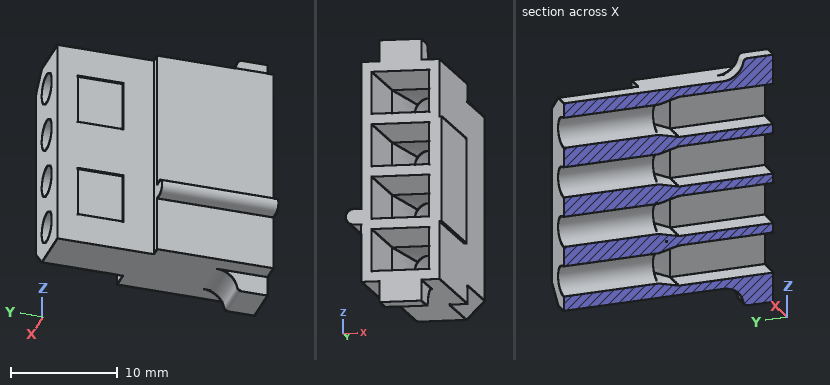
import cadquery as cq
import math


LENGTH = 21.0
HEIGHT = 21.0
FRONT_LENGTH = 11.5
FRONT_WIDTH = 7.5
REAR_WIDTH = 6.5

RIDGE_THICKNESS = 1.5
RIDGE_HEIGHT = 1.5
RIDGE_CENTER_Z = -4.25

LEFT_X = RIDGE_HEIGHT
RIGHT_X = LEFT_X + FRONT_WIDTH
FRONT_CENTER_X = LEFT_X + FRONT_WIDTH / 2
REAR_LEFT_X = RIGHT_X - REAR_WIDTH
REAR_CENTER_X = RIGHT_X - REAR_WIDTH / 2

PAD_HEIGHT = 0.2
PAD_WIDTH = 10.0

CHAMFER = 1.75
CHAMFER_START_Y = 13.0

TAB_HEIGHT = 2.0
TAB_WIDTH = 4.0
TAB_ROOT_Y = 5.0
TAB_ROOT_RADIUS = TAB_HEIGHT
TAB_TIP_RADIUS = 0.5

CAVITY_COUNT = 4
CAVITY_PITCH = 5.0
CAVITY_WIDTH = 5.5
CAVITY_HEIGHT = 4.0
FUNNEL_LENGTH = 2.0
CAVITY_DEPTH = FRONT_LENGTH - FUNNEL_LENGTH
CONTACT_DIAMETER = 3.0

RECESS_LENGTH = 4.5
RECESS_HEIGHT = 5.0
RECESS_END_Y = LENGTH - 2.0
RECESS_SPACING = 10.0
RECESS_DEPTH = 0.2


def block(x_range, y_range, z_range):
    """Box spanning the given ranges along X, Y and Z."""
    spans = [high - low for low, high in (x_range, y_range, z_range)]
    corner = (x_range[0], y_range[0], z_range[0])
    return cq.Workplane("XY").box(*spans, centered=False).translate(corner)


def centered_range(center, size):
    """Low and high ends of a span of the given size about its center."""
    return center - size / 2, center + size / 2


def plane_at(y):
    """Workplane at the given y, with its normal along +Y and local axes (-X, Z)."""
    return cq.Workplane(cq.Plane(origin=(0, y, 0), xDir=(-1, 0, 0), normal=(0, 1, 0)))


def make_body():
    full_height = centered_range(0, HEIGHT)
    front = block((LEFT_X, RIGHT_X), (0, FRONT_LENGTH), full_height)
    rear = block((REAR_LEFT_X, RIGHT_X), (0, LENGTH), full_height)
    pad = block((REAR_LEFT_X, RIGHT_X + PAD_HEIGHT), (0, FRONT_LENGTH), centered_range(0, PAD_WIDTH))
    return front.union(rear).union(pad)


def make_ridge():
    """Round-nosed rib along the front section."""
    radius = RIDGE_THICKNESS / 2
    nose = plane_at(0).center(-radius, RIDGE_CENTER_Z).circle(radius).extrude(FRONT_LENGTH)
    web_z = centered_range(RIDGE_CENTER_Z, RIDGE_THICKNESS)
    return nose.union(block((radius, LEFT_X), (0, FRONT_LENGTH), web_z))


def make_tab():
    """Tab on the top end: a concave root arc runs into a rounded tip."""
    root_z = HEIGHT / 2
    tip_z = root_z + TAB_HEIGHT
    center_distance = TAB_ROOT_RADIUS + TAB_TIP_RADIUS
    meet_angle = math.asin(TAB_TIP_RADIUS / center_distance)
    tip_center_y = TAB_ROOT_Y - center_distance * math.cos(meet_angle)
    tip_center_z = tip_z - TAB_TIP_RADIUS

    def root_point(angle):
        return (TAB_ROOT_Y - TAB_ROOT_RADIUS * math.cos(angle), tip_z - TAB_ROOT_RADIUS * math.sin(angle))

    def tip_point(angle):
        return (tip_center_y + TAB_TIP_RADIUS * math.cos(angle), tip_center_z + TAB_TIP_RADIUS * math.sin(angle))

    quarter = math.pi / 2
    return (
        cq.Workplane("YZ", origin=(FRONT_CENTER_X - TAB_WIDTH / 2, 0, 0))
        .moveTo(0, root_z)
        .lineTo(TAB_ROOT_Y, root_z)
        .threePointArc(root_point((meet_angle + quarter) / 2), root_point(meet_angle))
        .threePointArc(tip_point((meet_angle + quarter) / 2), tip_point(quarter))
        .lineTo(0, tip_z)
        .close()
        .extrude(TAB_WIDTH)
    )


def make_chamfer_cut():
    """Triangular prism that removes the top rear corner on the +X side."""
    top_z = HEIGHT / 2
    return (
        plane_at(CHAMFER_START_Y)
        .polyline([(-RIGHT_X, top_z), (CHAMFER - RIGHT_X, top_z), (-RIGHT_X, top_z - CHAMFER)])
        .close()
        .extrude(LENGTH - CHAMFER_START_Y)
    )


def contact_circle(workplane):
    """Closed contact-hole outline, split into four arcs along the pocket's diagonals."""
    radius = CONTACT_DIAMETER / 2
    diagonal_angle = math.atan2(CAVITY_HEIGHT, CAVITY_WIDTH)
    x = radius * math.cos(diagonal_angle)
    z = radius * math.sin(diagonal_angle)
    return (
        workplane.moveTo(-x, -z)
        .threePointArc((0, -radius), (x, -z))
        .threePointArc((radius, 0), (x, z))
        .threePointArc((0, radius), (-x, z))
        .threePointArc((-radius, 0), (-x, -z))
        .close()
    )


def make_cavity(z):
    """Rectangular pocket that funnels down to a round contact hole."""
    x_range = centered_range(FRONT_CENTER_X, CAVITY_WIDTH)
    pocket = block(x_range, (0, CAVITY_DEPTH), centered_range(z, CAVITY_HEIGHT))

    mouth = plane_at(CAVITY_DEPTH).center(-FRONT_CENTER_X, z).rect(CAVITY_WIDTH, CAVITY_HEIGHT)
    throat = mouth.workplane(offset=FUNNEL_LENGTH).center(FRONT_CENTER_X - REAR_CENTER_X, 0)
    funnel = contact_circle(throat).loft(ruled=True)

    hole = plane_at(FRONT_LENGTH).center(-REAR_CENTER_X, z).circle(CONTACT_DIAMETER / 2)
    return pocket.union(funnel).union(hole.extrude(LENGTH - FRONT_LENGTH))


def make_recess(z):
    return block(
        (REAR_LEFT_X, REAR_LEFT_X + RECESS_DEPTH),
        (RECESS_END_Y - RECESS_LENGTH, RECESS_END_Y),
        centered_range(z, RECESS_HEIGHT),
    )


housing = make_body().union(make_ridge())

tab = make_tab()
chamfer_cut = make_chamfer_cut()
housing = housing.union(tab).union(tab.mirror("XY"))
housing = housing.cut(chamfer_cut).cut(chamfer_cut.mirror("XY"))

for index in range(CAVITY_COUNT):
    cavity_z = (index - (CAVITY_COUNT - 1) / 2) * CAVITY_PITCH
    housing = housing.cut(make_cavity(cavity_z))

for side in (-1, 1):
    housing = housing.cut(make_recess(side * RECESS_SPACING / 2))

result = housing